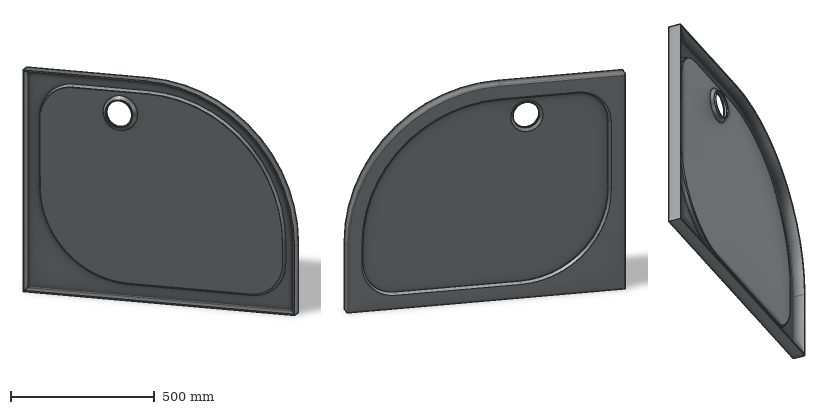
import cadquery as cq
import math

LENGTH = 1000.0
DEPTH = 48.0
HEIGHT = 800.0
FRONT_RADIUS = 550.0
RIM_ROUND = 5.0
SHEET = 5.0
INNER_ROUND = 3.0

BASIN_INSET = 47.0
BASIN_DEPTH = 19.0
SHALLOW_DEPTH = 12.0
SHALLOW_X = 950.0
SHALLOW_Z = 50.0
BASIN_SLOPE_WIDTH = 8.0
SMALL_CORNER_RADIUS = 125.0
LARGE_CORNER_RADIUS = 330.0

DRAIN_X = 350.0
DRAIN_Z = 669.0
DRAIN_TOP_RADIUS = 66.0
DRAIN_HOLE_RADIUS = 47.0
DRAIN_NECK_RADIUS = 50.0
DRAIN_DEPTH = 10.0
DRAIN_NECK_LENGTH = 6.0

DECK_UNDERSIDE = DEPTH - SHEET
FLOOR_UNDERSIDE = DECK_UNDERSIDE - BASIN_DEPTH


def plane_at(y):
    """XZ work plane at the given Y, extruding toward -Y."""
    return cq.Workplane("XZ", origin=(0, y, 0))


def corner_mid(center_x, center_z, radius, degrees):
    """Point on a corner arc at the given angle."""
    angle = math.radians(degrees)
    return (center_x + radius * math.cos(angle), center_z + radius * math.sin(angle))


def outer_outline(y, inset):
    """Rectangle with one large quarter-round corner, moved inward by inset."""
    right = LENGTH - inset
    top = HEIGHT - inset
    center_x = LENGTH - FRONT_RADIUS
    center_z = HEIGHT - FRONT_RADIUS
    arc_mid = corner_mid(center_x, center_z, FRONT_RADIUS - inset, 45)
    return (
        plane_at(y)
        .moveTo(inset, inset)
        .lineTo(right, inset)
        .lineTo(right, center_z)
        .threePointArc(arc_mid, (center_x, top))
        .lineTo(inset, top)
        .close()
    )


def basin_outline(work, shrink):
    """Basin edge with four rounded corners, moved inward by shrink."""
    inset = BASIN_INSET + shrink
    right = LENGTH - inset
    top = HEIGHT - inset
    small = SMALL_CORNER_RADIUS - shrink
    large = LARGE_CORNER_RADIUS - shrink
    front = FRONT_RADIUS - inset
    return (
        work.moveTo(inset + large, inset)
        .lineTo(right - small, inset)
        .threePointArc(corner_mid(right - small, inset + small, small, -45), (right, inset + small))
        .lineTo(right, top - front)
        .threePointArc(corner_mid(right - front, top - front, front, 45), (right - front, top))
        .lineTo(inset + small, top)
        .threePointArc(corner_mid(inset + small, top - small, small, 135), (inset, top - small))
        .lineTo(inset, inset + large)
        .threePointArc(corner_mid(inset + large, inset + large, large, 225), (inset + large, inset))
        .close()
    )


def tilted_floor_cut(start_y):
    """Everything beyond the basin floor, which falls toward the drain from the far corner."""
    run_x = DRAIN_X - SHALLOW_X
    run_z = DRAIN_Z - SHALLOW_Z
    run = math.hypot(run_x, run_z)
    fall = (BASIN_DEPTH - SHALLOW_DEPTH) / run
    floor = cq.Plane(
        origin=(DRAIN_X, start_y - BASIN_DEPTH, DRAIN_Z),
        xDir=(run_z, 0, -run_x),
        normal=(-fall * run_x / run, -1, -fall * run_z / run),
    )
    return cq.Workplane(floor).rect(2 * LENGTH, 2 * LENGTH).extrude(LENGTH)


def basin_body(start_y, inward):
    """Basin below start_y: a sloping edge, then an upright wall down to the tilted floor.

    The whole outline moves inward by the given amount.
    """
    edge = basin_outline(plane_at(start_y), inward).workplane(offset=SHALLOW_DEPTH)
    edge = basin_outline(edge, inward + BASIN_SLOPE_WIDTH).loft(ruled=True, combine=True)
    wall = basin_outline(plane_at(start_y), inward + BASIN_SLOPE_WIDTH).extrude(2 * BASIN_DEPTH)
    return edge.union(wall).cut(tilted_floor_cut(start_y))


def drain_body(start_y, inward):
    """Funnel that narrows to the drain hole, starting just above the floor at start_y.

    All radii shrink by the given amount.
    """
    return (
        plane_at(start_y + SHEET / 2)
        .center(DRAIN_X, DRAIN_Z)
        .circle(DRAIN_TOP_RADIUS - inward)
        .workplane(offset=DRAIN_DEPTH + SHEET / 2)
        .circle(DRAIN_NECK_RADIUS - inward)
        .loft(combine=True)
        .faces("<Y")
        .workplane()
        .circle(DRAIN_NECK_RADIUS - inward)
        .extrude(DRAIN_NECK_LENGTH)
    )


shell = outer_outline(DEPTH, 0).extrude(DEPTH).faces(">Y").edges().fillet(RIM_ROUND)
cavity = outer_outline(DECK_UNDERSIDE, SHEET).extrude(DECK_UNDERSIDE)
shell = shell.cut(cavity.faces(">Y").edges().fillet(INNER_ROUND))

shell = shell.union(basin_body(DECK_UNDERSIDE, 0)).union(drain_body(FLOOR_UNDERSIDE, 0))
shell = shell.cut(basin_body(DEPTH, SHEET)).cut(drain_body(FLOOR_UNDERSIDE + SHEET, SHEET))

drain_hole = plane_at(DEPTH).center(DRAIN_X, DRAIN_Z).circle(DRAIN_HOLE_RADIUS).extrude(DEPTH)
result = shell.cut(drain_hole)